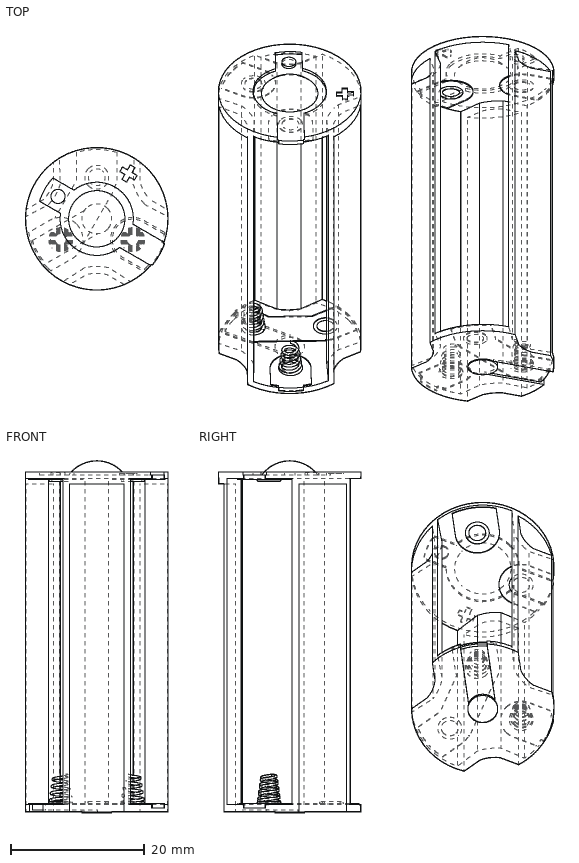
import cadquery as cq
import math


BODY_DIAMETER = 21.4
BODY_RADIUS = BODY_DIAMETER / 2
BLANK_RADIUS = 1.5 * BODY_RADIUS
CONTACT_BUMP_HEIGHT = 0.15
DOME_RISE = 1.7
OVERALL_HEIGHT = 52.85
TOP_FACE = OVERALL_HEIGHT - CONTACT_BUMP_HEIGHT - DOME_RISE

BASE_THICKNESS = 1.1
CAP_THICKNESS = 1.0
CAP_UNDERSIDE = TOP_FACE - CAP_THICKNESS

CELL_CIRCLE_RADIUS = 6.25
LEFT_CELL = 210
RIGHT_CELL = -30
BACK_CELL = 90
POST_ANGLES = (0, 120, 240)
POST_HALF_WIDTH = 5.1
POST_SLOPE = math.radians(32.5)
POST_CREST_HALF_WIDTH = 1.8
POST_CREST_RISE = 0.2
HOLLOW_HALF_WIDTH = 4.1
HOLLOW_SLOPE = math.radians(30)
HOLLOW_CREST_HALF_WIDTH = 1.55
HOLLOW_CREST_RISE = 0.2
HOLLOW_TOP = TOP_FACE - 1.8

TERMINAL_DEPTH = 0.5
TERMINAL_FLOOR = TOP_FACE - TERMINAL_DEPTH
TERMINAL_RADIUS = 5.5
CHANNEL_HALF_WIDTH = 2.0
DOME_RADIUS = 4.25
DOME_HEIGHT = DOME_RISE + TERMINAL_DEPTH
PAD_ANGLE = 150
PAD_END_RADIUS = 9.0
RIVET_CIRCLE_RADIUS = 6.7
RIVET_RADIUS = 1.05
RIVET_HEIGHT = 0.4
CROSS_ANGLE = 55
CROSS_TURN = 60
CROSS_CIRCLE_RADIUS = 8.3
CROSS_SPAN = 2.55
CROSS_ARM_WIDTH = 0.8
CROSS_DEPTH = 0.2

BASE_CHANNEL_DEPTH = 0.3
NOTCH_RADIUS = 10.2
CONTACT_BUMP_DIAMETER = 4.5

STRIP_THICKNESS = 0.15
STRIP_HALF_WIDTH = 3.35
STRIP_END_RADIUS = 10.4
NARROW_STRIP_HALF_WIDTH = 3.05
LINK_INNER_REACH = 3.2
LINK_OUTER_REACH = 2.4
STRIP_TOP = BASE_THICKNESS + STRIP_THICKNESS
CAP_STRIP_FACE = CAP_UNDERSIDE - STRIP_THICKNESS
TAB_RADIUS = BODY_RADIUS + STRIP_THICKNESS
TAB_HALF_WIDTH = 1.85
TAB_DEPTH = 0.7

RING_RADIUS = 1.55
RING_WIRE_RADIUS = 0.25
SPRING_WIRE_RADIUS = 0.2
SPRING_BASE_RADIUS = 1.6
SPRING_TIP_RADIUS = 1.0
SPRING_RISE = 4.25
SPRING_TURNS = 4
SPRING_TIP_TURN = 180


def disc(radius, bottom, top):
    return cq.Workplane("XY").workplane(offset=bottom).circle(radius).extrude(top - bottom)


def turned(shape, angle):
    return shape.rotate((0, 0, 0), (0, 0, 1), angle)


def radial_bar(angle, half_width, end_radius, bottom, top, start_radius=0):
    """Bar running outwards along `angle` and ending on a cylinder about the Z axis."""
    size = (end_radius - start_radius, 2 * half_width, top - bottom)
    bar = cq.Workplane("XY").box(*size, centered=(False, True, False)).translate((start_radius, 0, bottom))
    return turned(bar, angle).intersect(disc(end_radius, bottom, top))


def at_cell(shape, angle, z=0):
    """Move a shape made at the origin to the axis of the cell at `angle`."""
    return turned(shape.translate((CELL_CIRCLE_RADIUS, 0, z)), angle)


def post_prism(half_width, slope, crest_half_width, crest_rise, height):
    """Prism reaching past the body on the -Y side.

    Its inner wall has two sloped flats that start on the body circle and meet in an arch.
    """
    edge_y = -math.sqrt(BODY_RADIUS**2 - half_width**2)
    crest_y = edge_y + (half_width - crest_half_width) * math.tan(slope)
    return (
        cq.Workplane("XY")
        .moveTo(half_width, -BLANK_RADIUS)
        .lineTo(half_width, edge_y)
        .lineTo(crest_half_width, crest_y)
        .threePointArc((0, crest_y + crest_rise), (-crest_half_width, crest_y))
        .lineTo(-half_width, edge_y)
        .lineTo(-half_width, -BLANK_RADIUS)
        .close()
        .extrude(height)
    )


def body():
    """Two plates joined by three hollowed posts, trimmed together to the round outside."""
    shape = disc(BLANK_RADIUS, 0, BASE_THICKNESS).union(disc(BLANK_RADIUS, CAP_UNDERSIDE, TOP_FACE))
    post = post_prism(POST_HALF_WIDTH, POST_SLOPE, POST_CREST_HALF_WIDTH, POST_CREST_RISE, TOP_FACE)
    hollow = post_prism(
        HOLLOW_HALF_WIDTH, HOLLOW_SLOPE, HOLLOW_CREST_HALF_WIDTH, HOLLOW_CREST_RISE, HOLLOW_TOP
    )
    for angle in POST_ANGLES:
        shape = shape.union(turned(post, angle))
    for angle in POST_ANGLES:
        shape = shape.cut(turned(hollow, angle))
    return shape.intersect(disc(BODY_RADIUS, 0, TOP_FACE))


def cut_cap_terminal(shape):
    recess = disc(TERMINAL_RADIUS, TERMINAL_FLOOR, TOP_FACE)
    for angle, end_radius in ((RIGHT_CELL, BODY_RADIUS), (PAD_ANGLE, PAD_END_RADIUS)):
        recess = recess.union(
            radial_bar(angle, CHANNEL_HALF_WIDTH, end_radius, TERMINAL_FLOOR, TOP_FACE)
        )
    return shape.cut(recess)


def cut_polarity_cross(shape):
    arm = cq.Workplane("XY").box(CROSS_SPAN, CROSS_ARM_WIDTH, CROSS_DEPTH, centered=(True, True, False))
    cross = turned(arm.union(turned(arm, 90)), CROSS_TURN - CROSS_ANGLE)
    cross = cross.translate((CROSS_CIRCLE_RADIUS, 0, TOP_FACE - CROSS_DEPTH))
    return shape.cut(turned(cross, CROSS_ANGLE))


def dome():
    sphere_radius = (DOME_RADIUS**2 + DOME_HEIGHT**2) / (2 * DOME_HEIGHT)
    sphere_centre = TERMINAL_FLOOR + DOME_HEIGHT - sphere_radius
    sphere = cq.Workplane("XY").sphere(sphere_radius).translate((0, 0, sphere_centre))
    return sphere.intersect(disc(sphere_radius, TERMINAL_FLOOR, TERMINAL_FLOOR + DOME_HEIGHT))


def rivet():
    pin = disc(RIVET_RADIUS, TERMINAL_FLOOR, TERMINAL_FLOOR + RIVET_HEIGHT)
    return turned(pin.translate((RIVET_CIRCLE_RADIUS, 0, 0)), PAD_ANGLE)


def cut_base_terminal(shape):
    """Channel under the base, and the notch in the rim where the strip comes down into it."""
    channel = radial_bar(LEFT_CELL, CHANNEL_HALF_WIDTH, BODY_RADIUS, 0, BASE_CHANNEL_DEPTH)
    notch = radial_bar(LEFT_CELL, CHANNEL_HALF_WIDTH, BODY_RADIUS, 0, BASE_THICKNESS)
    notch = notch.cut(disc(NOTCH_RADIUS, 0, BASE_THICKNESS))
    return shape.cut(channel).cut(notch)


def strip_pad(angle, half_width, bottom):
    """Strip at one cell: rounded towards the middle, ending near the rim."""
    top = bottom + STRIP_THICKNESS
    round_end = at_cell(disc(half_width, bottom, top), angle)
    straight = radial_bar(angle, half_width, STRIP_END_RADIUS, bottom, top, CELL_CIRCLE_RADIUS)
    return round_end.intersect(disc(STRIP_END_RADIUS, bottom, top)).union(straight)


def linked_strip():
    """Strip on the base that joins the back cell to the left cell."""
    outward = (BACK_CELL + LEFT_CELL) / 2
    half_angle = math.radians(LEFT_CELL - BACK_CELL) / 2
    inner_radius = CELL_CIRCLE_RADIUS * math.cos(half_angle) - LINK_INNER_REACH
    size = (
        LINK_INNER_REACH + LINK_OUTER_REACH,
        2 * CELL_CIRCLE_RADIUS * math.sin(half_angle),
        STRIP_THICKNESS,
    )
    link = cq.Workplane("XY").box(*size, centered=(False, True, False))
    link = turned(link.translate((inner_radius, 0, BASE_THICKNESS)), outward)
    back_pad = strip_pad(BACK_CELL, NARROW_STRIP_HALF_WIDTH, BASE_THICKNESS)
    left_pad = strip_pad(LEFT_CELL, STRIP_HALF_WIDTH, BASE_THICKNESS)
    return link.union(back_pad).union(left_pad)


def rim_tab(bottom, top):
    """Folded end of a strip, wrapped over the rim beside the right cell."""
    return radial_bar(RIGHT_CELL, TAB_HALF_WIDTH, TAB_RADIUS, bottom, top, CELL_CIRCLE_RADIUS)


def ring(angle, z):
    torus = cq.Solid.makeTorus(RING_RADIUS, RING_WIRE_RADIUS)
    return at_cell(cq.Workplane(torus), angle, z)


def spring(angle):
    """Conical spring; the helix is drawn widening upwards and then turned over."""
    taper = math.degrees(math.atan2(SPRING_BASE_RADIUS - SPRING_TIP_RADIUS, SPRING_RISE))
    pitch = SPRING_RISE / SPRING_TURNS
    helix = cq.Wire.makeHelix(pitch, SPRING_RISE, SPRING_TIP_RADIUS, angle=taper)
    coil = (
        cq.Workplane("XZ")
        .center(SPRING_TIP_RADIUS, 0)
        .circle(SPRING_WIRE_RADIUS)
        .sweep(cq.Workplane(helix), isFrenet=True)
        .rotate((0, 0, 0), (1, 0, 0), 180)
    )
    return at_cell(turned(coil, SPRING_TIP_TURN), angle, STRIP_TOP + SPRING_RISE)


holder = cut_base_terminal(cut_polarity_cross(cut_cap_terminal(body())))

holder = holder.union(dome()).union(rivet())
holder = holder.union(disc(CONTACT_BUMP_DIAMETER / 2, -CONTACT_BUMP_HEIGHT, BASE_THICKNESS))

holder = holder.union(linked_strip())
holder = holder.union(strip_pad(RIGHT_CELL, NARROW_STRIP_HALF_WIDTH, BASE_THICKNESS))
holder = holder.union(rim_tab(STRIP_TOP - TAB_DEPTH, STRIP_TOP))
holder = holder.union(rim_tab(CAP_STRIP_FACE, TERMINAL_FLOOR))

holder = holder.union(ring(BACK_CELL, STRIP_TOP))
for cell in (LEFT_CELL, RIGHT_CELL):
    holder = holder.union(strip_pad(cell, STRIP_HALF_WIDTH, CAP_STRIP_FACE))
    holder = holder.union(ring(cell, CAP_STRIP_FACE))
    holder = holder.union(ring(cell, STRIP_TOP))
    holder = holder.union(spring(cell))

result = holder